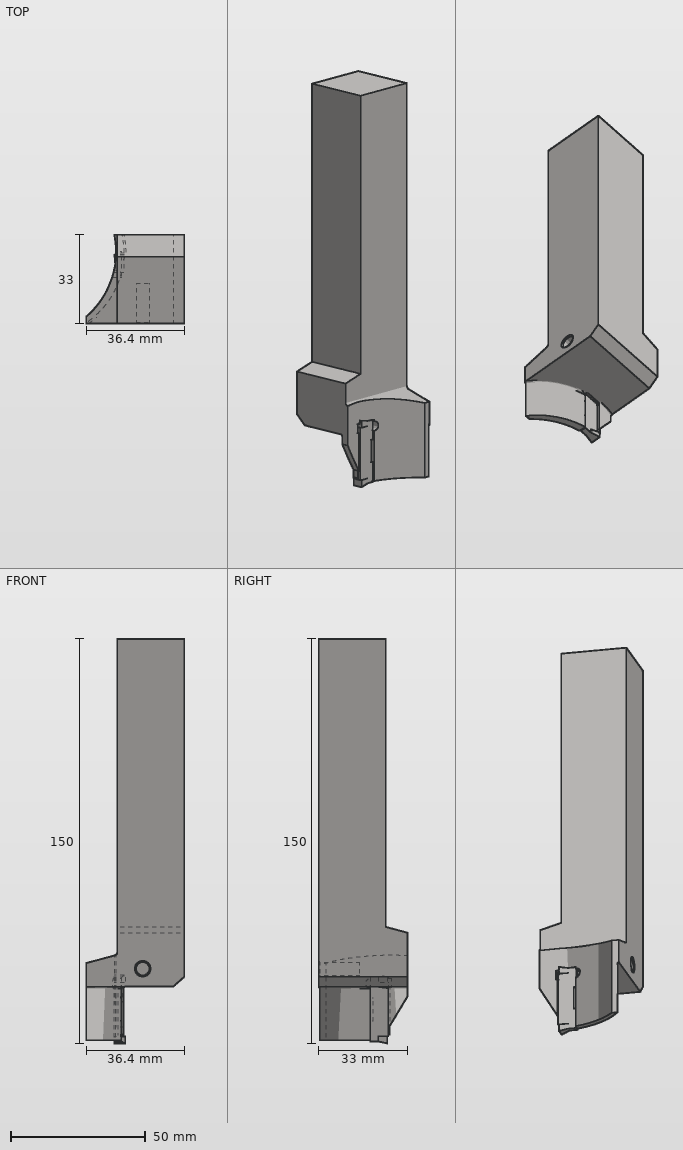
import cadquery as cq
import math


total_height = 150.0
shank_side = 24.9
head_overhang_x = 11.5
head_depth = 33.0
head_bottom = 21.1
side_shoulder_z = 29.8
back_shoulder_z = 41.1
shoulder_slope = math.tan(math.radians(15))
shoulder_fillet = 1.2
heel_chamfer_x = 4.0
heel_chamfer_z = 3.6

hole_x = 9.5
hole_z = 27.7
hole_diameter = 5.0
hole_depth = 15.0
hole_chamfer = 0.5

arc_center_y = 26.5
concave_apex_x = -0.5
concave_radius = 31.5
convex_apex_x = 2.4
convex_radius = 31.5
blade_bottom = 1.2
blade_root_fillet = 0.7
blade_root_angle = math.radians(30)
blade_root_point = (
    convex_apex_x - convex_radius * (1 - math.cos(blade_root_angle)),
    arc_center_y - convex_radius * math.sin(blade_root_angle),
    head_bottom,
)
jaw_tip_z = 3.3
jaw_corner_z = 6.3
jaw_back_z = 17.5

insert_y_min = 19.0
bar_y_max = 25.8
tip_y_max = 25.5
insert_length = 25.5
bar_x_min = -0.7
bar_x_max = 1.5
tip_x_min = -1.0
tip_x_max = 3.0
tip_depth = 3.5
tip_height = 2.7
tip_relief = 0.7
notch_length = 8.5
notch_depth = 0.9
bar_top = insert_length - tip_relief

jaw_step_width = 0.5
jaw_step_x = 0.3

round_relief_radius = 1.8
round_relief_z = 22.3
square_relief_width = 1.0
square_relief_z_min = 20.8
square_relief_z_max = 24.3


def box(x_min, x_max, y_min, y_max, z_min, z_max):
    size = (x_max - x_min, y_max - y_min, z_max - z_min)
    return cq.Workplane("XY").box(*size, centered=False).translate((x_min, y_min, z_min))


def cylinder(apex_x, radius):
    """Upright cylinder whose largest X is apex_x."""
    return cq.Workplane("XY").center(apex_x - radius, arc_center_y).circle(radius).extrude(total_height)


def make_shank_and_head():
    shoulder_top = side_shoulder_z + head_overhang_x * shoulder_slope
    front_outline = [
        (0, total_height),
        (shank_side, total_height),
        (shank_side, head_bottom + heel_chamfer_z),
        (shank_side - heel_chamfer_x, head_bottom),
        (-head_overhang_x, head_bottom),
        (-head_overhang_x, side_shoulder_z),
        (0, shoulder_top),
    ]
    block = cq.Workplane("XZ").polyline(front_outline).close().extrude(-head_depth)
    corner = cq.selectors.NearestToPointSelector((0, head_depth / 2, shoulder_top))
    block = block.edges(corner).fillet(shoulder_fillet)

    back_overhang = head_depth - shank_side
    above_back_shoulder = [
        (shank_side, total_height),
        (shank_side, back_shoulder_z + back_overhang * shoulder_slope),
        (head_depth, back_shoulder_z),
        (head_depth, total_height),
    ]
    waste = (
        cq.Workplane("YZ", origin=(-head_overhang_x, 0, 0))
        .polyline(above_back_shoulder).close().extrude(head_overhang_x + shank_side)
    )
    return block.cut(waste)


def make_blade():
    """Plate below the head with a convex outer side; the concave side is cut later."""
    blade = box(-head_overhang_x, convex_apex_x, 0, head_depth, blade_bottom, head_bottom)
    return blade.intersect(cylinder(convex_apex_x, convex_radius))


def make_jaw_corner_waste():
    """Everything beyond the sloped lower +Y corner of the blade."""
    outline = [
        (head_depth, jaw_back_z),
        (bar_y_max + jaw_step_width, jaw_corner_z),
        (bar_y_max + jaw_step_width, jaw_tip_z),
        (bar_y_max, jaw_tip_z),
        (bar_y_max, blade_bottom),
        (head_depth, blade_bottom),
    ]
    return (
        cq.Workplane("YZ", origin=(-head_overhang_x, 0, 0))
        .polyline(outline).close().extrude(head_overhang_x + shank_side)
    )


def make_hole():
    hole = cq.Workplane("XZ").center(hole_x, hole_z).circle(hole_diameter / 2).extrude(-hole_depth)
    mouth = cq.Solid.makeCone(
        hole_diameter / 2 + hole_chamfer,
        hole_diameter / 2,
        hole_chamfer,
        pnt=cq.Vector(hole_x, 0, hole_z),
        dir=cq.Vector(0, 1, 0),
    )
    return hole.union(cq.Workplane(mouth))


def make_lower_tip():
    """Cutting head that tapers from its cutting edge back to the width of the bar."""
    tip_back_y = tip_y_max - tip_depth
    side_outline = [
        (tip_y_max, 0),
        (tip_y_max, tip_height),
        (tip_back_y, tip_height),
        (tip_back_y, tip_relief),
    ]
    plan_outline = [
        (tip_x_min, tip_y_max),
        (tip_x_max, tip_y_max),
        (bar_x_max, tip_back_y),
        (bar_x_min, tip_back_y),
    ]
    side = (
        cq.Workplane("YZ", origin=(tip_x_min, 0, 0))
        .polyline(side_outline).close().extrude(tip_x_max - tip_x_min)
    )
    return side.intersect(cq.Workplane("XY").polyline(plan_outline).close().extrude(tip_height))


def make_insert():
    bar = box(bar_x_min, bar_x_max, insert_y_min, bar_y_max, tip_relief, bar_top)
    chip_space = box(bar_x_min, bar_x_max, tip_y_max, bar_y_max, tip_relief, tip_height)
    lower_end = make_lower_tip()
    middle = (0, 0, insert_length / 2)
    notch_outline = [
        (bar_x_min, insert_y_min),
        (bar_x_min, insert_y_min + notch_depth),
        (bar_x_max, insert_y_min),
    ]
    notch = (
        cq.Workplane("XY", origin=(0, 0, (insert_length - notch_length) / 2))
        .polyline(notch_outline).close().extrude(notch_length)
    )
    bar = bar.cut(chip_space).cut(chip_space.mirror("XY", middle)).cut(notch)
    return bar.union(lower_end).union(lower_end.mirror("XY", middle))


def make_seat():
    """Room for the insert bar, open below, with a step and reliefs along its edges."""
    open_x = -head_overhang_x
    seat = box(open_x, bar_x_max, insert_y_min, bar_y_max, 0, bar_top)
    through_blade = box(open_x, convex_apex_x, insert_y_min, bar_y_max, 0, head_bottom)
    step_y_max = bar_y_max + jaw_step_width
    jaw_step = box(open_x, jaw_step_x, bar_y_max, step_y_max, jaw_tip_z, square_relief_z_min)
    square_relief = box(
        open_x,
        bar_x_max,
        bar_y_max,
        bar_y_max + square_relief_width,
        square_relief_z_min,
        square_relief_z_max,
    )
    round_relief = (
        cq.Workplane("YZ", origin=(open_x, 0, 0))
        .center(insert_y_min, round_relief_z).circle(round_relief_radius)
        .extrude(bar_x_max - open_x)
    )
    return seat.union(through_blade).union(jaw_step).union(square_relief).union(round_relief)


insert = make_insert()

holder = make_shank_and_head().union(make_blade())
holder = holder.edges(cq.selectors.NearestToPointSelector(blade_root_point)).fillet(blade_root_fillet)
holder = holder.cut(cylinder(concave_apex_x, concave_radius))
holder = holder.cut(make_jaw_corner_waste()).cut(make_hole()).cut(make_seat()).cut(insert)

result = cq.Compound.makeCompound([holder.solids().val(), insert.solids().val()])